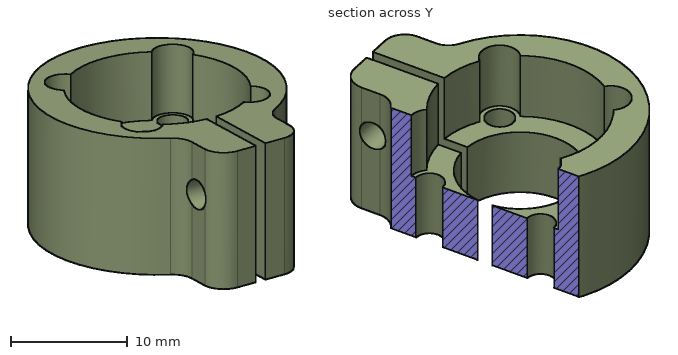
import cadquery as cq
import math

height = 12.7
outer_radius = 11.1
bore_radius = 5.7
pocket_radius = 8.01
pocket_depth = 6.38

screw_offset = 5.65
screw_radius = 1.35
lobe_radius = 1.8

overall_length = 26.35
ear_tip_x = overall_length - outer_radius
ear_half_width = 4.48
ear_corner_radius = 2.0
ear_blend_radius = 2.0
slot_width = 1.0

clamp_hole_x = 12.1
clamp_hole_drop = 4.65
clamp_hole_radius = 1.35

pocket_floor_z = height - pocket_depth


def make_ears():
    """Both ears as one block, blended tangentially into the ring."""
    blend_y = ear_half_width + ear_blend_radius
    center_distance = outer_radius + ear_blend_radius
    blend_x = math.sqrt(center_distance**2 - blend_y**2)
    ring_x = blend_x * outer_radius / center_distance
    ring_y = blend_y * outer_radius / center_distance
    mid_angle = (math.atan2(-blend_y, -blend_x) - math.pi / 2) / 2
    mid_x = blend_x + ear_blend_radius * math.cos(mid_angle)
    mid_y = blend_y + ear_blend_radius * math.sin(mid_angle)
    block = (
        cq.Workplane("XY")
        .moveTo(0, -ring_y)
        .lineTo(ring_x, -ring_y)
        .threePointArc((mid_x, -mid_y), (blend_x, -ear_half_width))
        .lineTo(ear_tip_x, -ear_half_width)
        .lineTo(ear_tip_x, ear_half_width)
        .lineTo(blend_x, ear_half_width)
        .threePointArc((mid_x, mid_y), (ring_x, ring_y))
        .lineTo(0, ring_y)
        .close()
        .extrude(height)
    )
    return block.edges("|Z and >X").fillet(ear_corner_radius)


def screw_pattern(radius, bottom_z):
    """Four cylinders at the screw positions, from bottom_z up to the top face."""
    return (
        cq.Workplane("XY", origin=(0, 0, bottom_z))
        .rect(2 * screw_offset, 2 * screw_offset, forConstruction=True)
        .vertices()
        .circle(radius)
        .extrude(height - bottom_z)
    )


def make_pocket():
    """Round pocket with a lobe around each screw hole."""
    floor_plane = cq.Workplane("XY", origin=(0, 0, pocket_floor_z))
    round_pocket = floor_plane.circle(pocket_radius).extrude(pocket_depth)
    return round_pocket.union(screw_pattern(lobe_radius, pocket_floor_z))


body = cq.Workplane("XY").circle(outer_radius).extrude(height).union(make_ears())
bore = cq.Workplane("XY").circle(bore_radius).extrude(height)
slot = cq.Workplane("XY").box(ear_tip_x, slot_width, height, centered=(False, True, False))
clamp_hole = (
    cq.Workplane("XZ", origin=(clamp_hole_x, 0, height - clamp_hole_drop))
    .circle(clamp_hole_radius)
    .extrude(outer_radius, both=True)
)

result = (
    body.cut(bore)
    .cut(make_pocket())
    .cut(screw_pattern(screw_radius, 0))
    .cut(slot)
    .cut(clamp_hole)
)